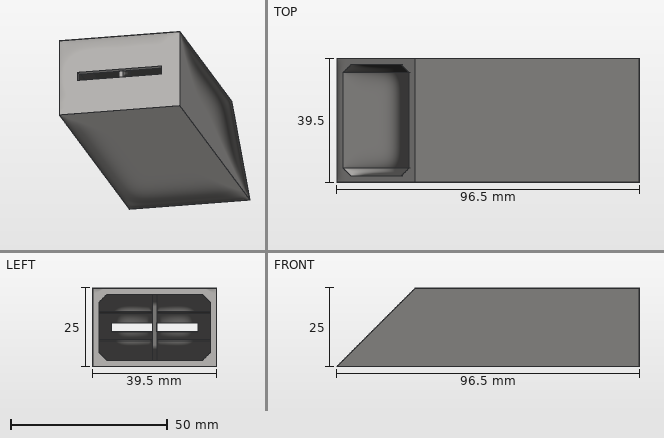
import cadquery as cq

LENGTH = 96.52
WIDTH = 39.52
HEIGHT = 24.99

WALL = 2.0
CORNER_CHAMFER = 2.5
END_WALL = WALL
INNER_WIDTH = WIDTH - 2 * WALL
INNER_HEIGHT = HEIGHT - 2 * WALL
CAVITY_END = LENGTH - END_WALL

SLOT_WIDTH = 27.5
SLOT_HEIGHT = 2.7

LEDGE_DEPTH = 5.0
LOWER_LEDGE_FRONT = 8.2
LOWER_LEDGE_RISE = 0.5
UPPER_LEDGE_FRONT = 17.6
UPPER_LEDGE_DROP = 0.6

RIB_THICKNESS = 1.4
RIB_DEPTH = 2 * LEDGE_DEPTH

MID_HEIGHT = HEIGHT / 2


def make_mitred_block():
    """Solid block whose -X end slopes back at 45 degrees from the bottom edge."""
    outline = [(0, 0), (LENGTH, 0), (LENGTH, HEIGHT), (HEIGHT, HEIGHT)]
    return cq.Workplane("XZ").polyline(outline).close().extrude(WIDTH / 2, both=True)


def make_cavity():
    """Chamfered rectangular bore that stops at the end wall."""
    return (
        cq.Workplane("XY")
        .box(CAVITY_END, INNER_WIDTH, INNER_HEIGHT, centered=(False, True, True))
        .edges("|X")
        .chamfer(CORNER_CHAMFER)
        .translate((0, 0, MID_HEIGHT))
    )


def make_slot():
    """Horizontal slot through the end wall."""
    return (
        cq.Workplane("XY")
        .box(END_WALL, SLOT_WIDTH, SLOT_HEIGHT, centered=(False, True, True))
        .translate((CAVITY_END, 0, MID_HEIGHT))
    )


def make_ledge(outer_height, front_height, back_height):
    """Full-width ledge between the tube's outer face and a sloping face that meets the end wall."""
    front = CAVITY_END - LEDGE_DEPTH
    outline = [
        (front, outer_height),
        (front, front_height),
        (CAVITY_END, back_height),
        (CAVITY_END, outer_height),
    ]
    return cq.Workplane("XZ").polyline(outline).close().extrude(WIDTH / 2, both=True)


def make_rib():
    """Upright rib from floor to roof, standing in front of the slot."""
    return (
        cq.Workplane("XY")
        .box(RIB_DEPTH, RIB_THICKNESS, INNER_HEIGHT, centered=(False, True, True))
        .translate((CAVITY_END - RIB_DEPTH, 0, MID_HEIGHT))
    )


tube = make_mitred_block().cut(make_cavity()).cut(make_slot())
lower_ledge = make_ledge(0, LOWER_LEDGE_FRONT, LOWER_LEDGE_FRONT + LOWER_LEDGE_RISE)
upper_ledge = make_ledge(HEIGHT, UPPER_LEDGE_FRONT, UPPER_LEDGE_FRONT - UPPER_LEDGE_DROP)
result = tube.union(lower_ledge).union(upper_ledge).union(make_rib())